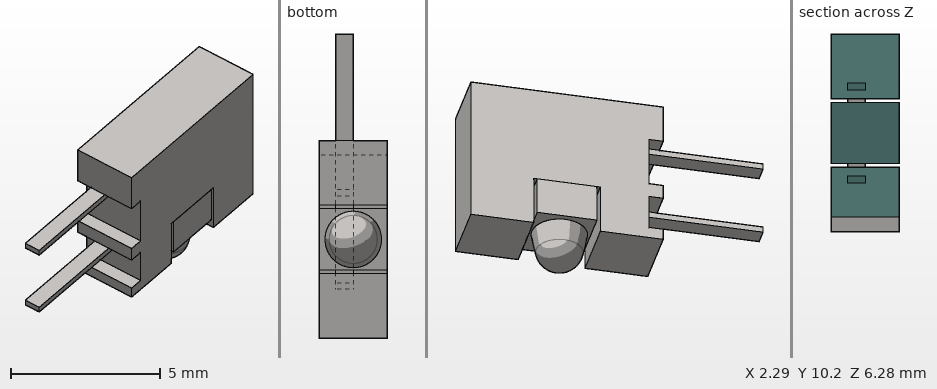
import cadquery as cq
import math

width = 2.29
length = 6.6
height = 5.33
back = -length / 2

recess_length = 2.29
recess_height = 1.78

notch_depth = 0.49
bottom_tab_top = 0.41
middle_tab_bottom = 1.66
middle_tab_top = 2.17
top_tab_bottom = 3.95

block_length = 2.05
block_bottom = 0.43
lens_base_radius = 0.94
cone_height = 0.72
cone_end_radius = 0.8

lead_width = 0.59
lead_thickness = 0.21
lead_pitch = 2.54
lead_tip = back - 3.56
upper_lead_z = top_tab_bottom - lead_thickness
lower_lead_z = upper_lead_z - lead_pitch
stub_z = 0.94
riser_gap = 0.3


def box(x_range, y_range, z_range):
    """Box that spans the given (low, high) ranges."""
    (x0, x1), (y0, y1), (z0, z1) = x_range, y_range, z_range
    return cq.Workplane("XY").box(x1 - x0, y1 - y0, z1 - z0, centered=False).translate((x0, y0, z0))


def make_lens():
    """Tapered lens that ends in a spherical cap tangent to the cone."""
    taper = math.atan((lens_base_radius - cone_end_radius) / cone_height)
    cap_radius = cone_end_radius / math.cos(taper)
    cap_top = block_bottom - cone_height
    cap_centre = cap_top + cap_radius * math.sin(taper)
    mid_angle = (math.pi / 2 + taper) / 2
    cap_mid = (cap_radius * math.sin(mid_angle), cap_centre - cap_radius * math.cos(mid_angle))
    return (
        cq.Workplane("XZ")
        .moveTo(0, block_bottom)
        .lineTo(lens_base_radius, block_bottom)
        .lineTo(cone_end_radius, cap_top)
        .threePointArc(cap_mid, (0, cap_centre - cap_radius))
        .close()
        .revolve(360, (0, 0, 0), (0, 1, 0))
    )


def lead_piece(y_range, z_range):
    """One straight stretch of a lead; all stretches lie in the same X range."""
    return box((-lead_width, 0), y_range, z_range)


def make_lead(side, pin_z):
    """Lead from the lamp block (side +1 or -1 in Y), up a riser, then out of the back as a pin."""
    riser_near = side * (recess_length / 2 + riser_gap)
    riser_far = riser_near + side * lead_thickness
    riser_y = sorted((riser_near, riser_far))
    stub_y = sorted((side * block_length / 2, riser_far))
    pin_top = pin_z + lead_thickness
    stub = lead_piece(stub_y, (stub_z, stub_z + lead_thickness))
    riser = lead_piece(riser_y, (stub_z, pin_top))
    pin = lead_piece((lead_tip, riser_y[1]), (pin_z, pin_top))
    return stub.union(riser).union(pin)


def make_lamp():
    """Lamp block with its lens and both leads."""
    half_block = block_length / 2
    block = box((-width / 2, width / 2), (-half_block, half_block), (block_bottom, recess_height))
    lamp = block.union(make_lens())
    for side, pin_z in ((1, upper_lead_z), (-1, lower_lead_z)):
        lamp = lamp.union(make_lead(side, pin_z))
    return lamp


def make_housing(lamp):
    """Block with the lamp recess, back notches and channels that fit the leads."""
    across = (-width / 2, width / 2)
    half_recess = recess_length / 2
    housing = box(across, (back, -back), (0, height))
    housing = housing.cut(box(across, (-half_recess, half_recess), (0, recess_height)))
    for notch_z in ((bottom_tab_top, middle_tab_bottom), (middle_tab_top, top_tab_bottom)):
        housing = housing.cut(box(across, (back, back + notch_depth), notch_z))
    return housing.cut(lamp)


lamp = make_lamp()
housing = make_housing(lamp)

result = cq.Compound.makeCompound([housing.val(), lamp.val()])